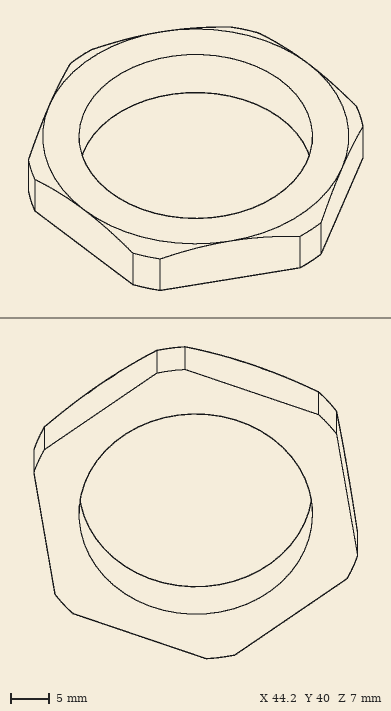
import cadquery as cq
import math

hexagon_sides = 6
across_flats = 40.0
corner_diameter = 44.18
bore_diameter = 30.5
thickness = 7.0
chamfer_angle = 30.0

sharp_corner_diameter = across_flats / math.cos(math.pi / hexagon_sides)
corner_radius = corner_diameter / 2
top_face_radius = across_flats / 2
chamfer_drop = (corner_radius - top_face_radius) * math.tan(math.radians(chamfer_angle))


def hexagonal_prism():
    """Hexagon with corners on the X axis, flats facing +Y and -Y, bottom on Z = 0."""
    return cq.Workplane("XY").polygon(hexagon_sides, sharp_corner_diameter).extrude(thickness)


def chamfered_disc():
    """Disc turned about Z, with a conical chamfer around its top edge."""
    profile = (
        cq.Workplane("XZ")
        .moveTo(0, 0)
        .lineTo(corner_radius, 0)
        .lineTo(corner_radius, thickness - chamfer_drop)
        .lineTo(top_face_radius, thickness)
        .lineTo(0, thickness)
        .close()
    )
    return profile.revolve(360, (0, 0, 0), (0, 1, 0))


def bore():
    """Through hole along Z."""
    return cq.Workplane("XY").circle(bore_diameter / 2).extrude(thickness)


result = hexagonal_prism().intersect(chamfered_disc()).cut(bore())